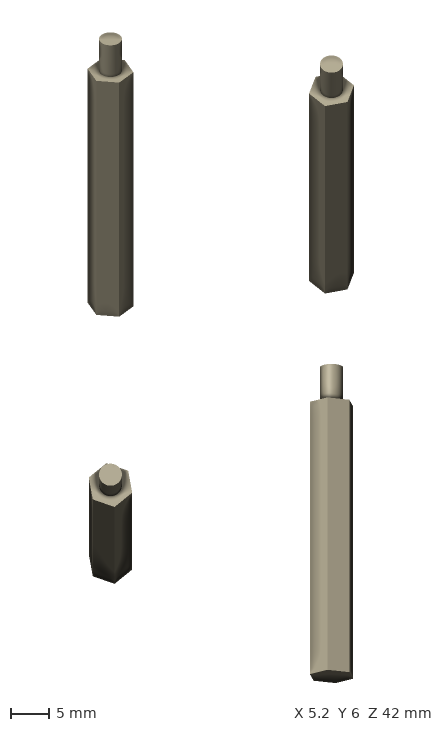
import cadquery as cq
import math

total_height = 42.0
across_flats = 5.2
stud_diameter = 3.0
stud_length = 5.0

body_height = total_height - stud_length
across_corners = across_flats / math.cos(math.pi / 6)


def hex_body():
    """Hexagonal spacer body with flats facing +X and -X."""
    return (
        cq.Workplane("XY")
        .transformed(rotate=(0, 0, 90))
        .polygon(6, across_corners)
        .extrude(body_height)
    )


def add_stud(body):
    """Plain round stud on the top face of the body."""
    return (
        body.faces(">Z")
        .workplane(centerOption="CenterOfMass")
        .circle(stud_diameter / 2)
        .extrude(stud_length)
    )


result = add_stud(hex_body())